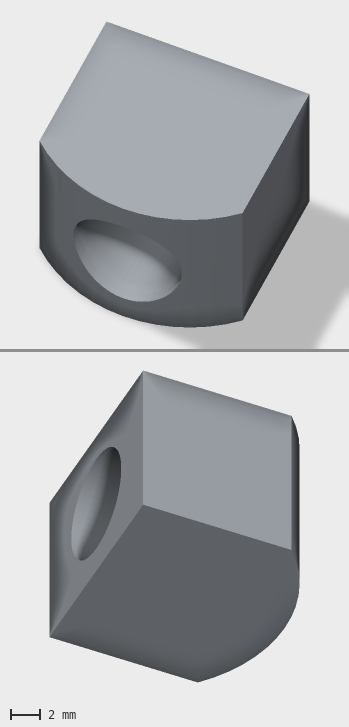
import cadquery as cq
import math

width = 15.0
depth = 14.0
height = 12.0
front_radius = 11.0
bore_diameter = 8.0

half_width = width / 2
bulge = front_radius - math.sqrt(front_radius**2 - half_width**2)
side_length = depth - bulge

block = (
    cq.Workplane("XY")
    .moveTo(-half_width, depth)
    .lineTo(-half_width, depth - side_length)
    .threePointArc((0, 0), (half_width, depth - side_length))
    .lineTo(half_width, depth)
    .close()
    .extrude(height)
)

bore = (
    cq.Workplane("XZ")
    .center(0, height / 2)
    .circle(bore_diameter / 2)
    .extrude(-depth)
)

result = block.cut(bore)